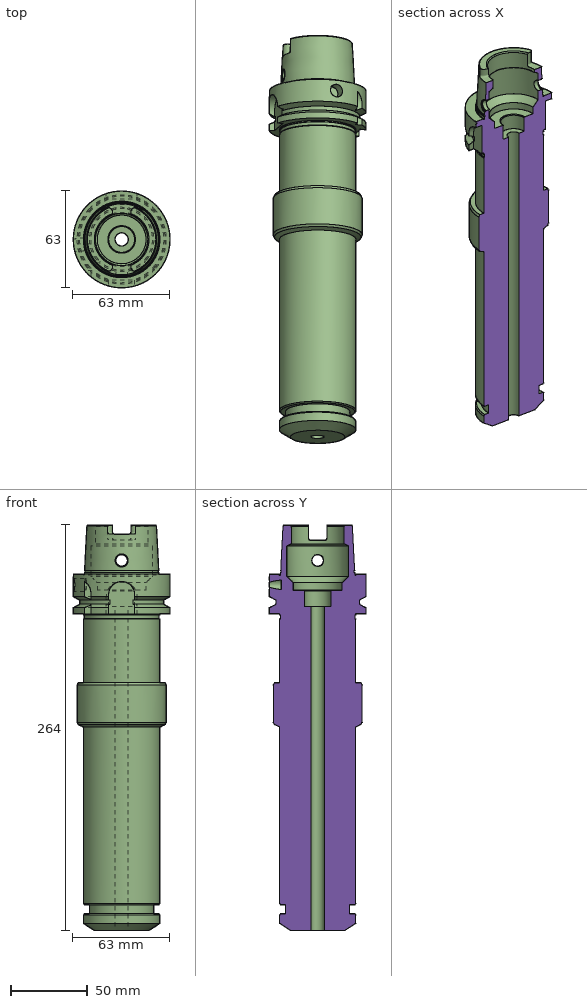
import cadquery as cq
import math

total_height = 264.0
flange_dia = 63.0
body_dia = 50.0

shank_length = 32.0
gauge_dia = 48.0
gauge_height = 6.3
taper_ratio = 0.1
rim_chamfer = 0.5
relief_depth = 0.3
relief_top_height = 2.5
relief_bottom_height = 1.0
face_recess_dia = 50.0
face_recess_depth = 0.5

flange_height = 26.0
groove_floor_dia = 55.0
groove_floor_height = 2.6
groove_centre_drop = 18.2
groove_side_angle = 29.0
neck_depth = 0.5
neck_land = 0.8
neck_height = 2.0
neck_chamfer = 0.5

collar_dia = 58.0
collar_top = 161.5
collar_height = 29.0
collar_chamfer = 0.8
collar_chamfer_height = 1.5
collar_shoulder_height = 1.5
end_groove_dia = 42.0
end_groove_top = 17.0
end_groove_height = 5.8
end_groove_chamfer = 0.8
end_chamfer_height = 4.8
end_face_dia = 35.5

mouth_dia = 35.6
mouth_chamfer_height = 0.8
bore_dia = 34.0
bore_depth = 12.1
chamber_dia = 40.0
chamber_shoulder_height = 1.5
chamber_depth = 33.3
lower_bore_dia = 31.7
lower_bore_depth = 42.2
counterbore_dia = 17.0
counterbore_mouth_dia = 18.0
counterbore_depth = 10.5
through_dia = 8.5

rim_slot_width = 12.0
rim_slot_edge_radius = 3.2
rim_slot_floor_fillet = 1.3
front_rim_slot_depth = 5.8
back_rim_slot_depth = 9.8

cross_hole_dia = 7.5
cross_hole_mouth_dia = 8.5
cross_hole_height = 9.0

drive_slot_floor = 26.5
drive_slot_top_drop = 4.8
front_drive_slot_width = 17.0
back_drive_slot_width = 20.0

notch_corner = 20.0
notch_cutter_radius = 8.5
notch_arc_drop = 12.1

chip_hole_dia = 8.5
chip_hole_depth = 8.0
chip_hole_drop = 6.9
chip_hole_offset = 4.0

flange_face = total_height - shank_length
flange_bottom = flange_face - flange_height
flange_radius = flange_dia / 2
body_radius = body_dia / 2
end_groove_bottom = end_groove_top - end_groove_height
clearance = 2.6


def taper_radius(z):
    """Radius of the tapered shank at height z."""
    return (gauge_dia - taper_ratio * (z - flange_face - gauge_height)) / 2


def turned_body():
    """Solid of revolution of the whole outside."""
    collar_radius = collar_dia / 2
    collar_bottom = collar_top - collar_height
    shoulder_top = collar_bottom + collar_shoulder_height
    groove_radius = end_groove_dia / 2
    v_radius = groove_floor_dia / 2
    v_top = flange_face - groove_centre_drop + groove_floor_height / 2
    v_bottom = v_top - groove_floor_height
    v_rise = (flange_radius - v_radius) * math.tan(math.radians(groove_side_angle))
    neck_radius = body_radius - neck_depth
    neck_top = flange_bottom - neck_land
    neck_bottom = neck_top - neck_height
    relief_top = flange_face + relief_top_height
    relief_bottom = flange_face + relief_bottom_height
    relief_radius = taper_radius(relief_top) - relief_depth
    recess_floor = flange_face - face_recess_depth
    rim_radius = taper_radius(total_height)
    outline = [
        (0, 0),
        (end_face_dia / 2, 0),
        (body_radius, end_chamfer_height),
        (body_radius, end_groove_bottom - end_groove_chamfer),
        (body_radius - end_groove_chamfer, end_groove_bottom),
        (groove_radius, end_groove_bottom),
        (groove_radius, end_groove_top),
        (body_radius - end_groove_chamfer, end_groove_top),
        (body_radius, end_groove_top + end_groove_chamfer),
        (body_radius, collar_bottom),
        (collar_radius - collar_chamfer, shoulder_top),
        (collar_radius, shoulder_top + collar_chamfer_height),
        (collar_radius, collar_top - collar_chamfer_height),
        (collar_radius - collar_chamfer, collar_top),
        (body_radius, collar_top),
        (body_radius, neck_bottom - neck_chamfer),
        (neck_radius, neck_bottom),
        (neck_radius, neck_top),
        (body_radius, neck_top),
        (body_radius, flange_bottom),
        (flange_radius, flange_bottom),
        (flange_radius, v_bottom - v_rise),
        (v_radius, v_bottom),
        (v_radius, v_top),
        (flange_radius, v_top + v_rise),
        (flange_radius, flange_face),
        (face_recess_dia / 2, flange_face),
        (face_recess_dia / 2, recess_floor),
        (taper_radius(recess_floor), recess_floor),
        (taper_radius(relief_bottom), relief_bottom),
        (relief_radius, relief_bottom),
        (relief_radius, relief_top),
        (taper_radius(relief_top), relief_top),
        (rim_radius, total_height - rim_chamfer),
        (rim_radius - rim_chamfer, total_height),
        (0, total_height),
    ]
    return cq.Workplane("XZ").polyline(outline).close().revolve(360, (0, 0), (0, 1))


def bore():
    """Bore with a wide clamping chamber behind its mouth, open at both ends."""
    bore_floor = total_height - lower_bore_depth
    counterbore_floor = bore_floor - counterbore_depth
    counterbore_chamfer = (counterbore_mouth_dia - counterbore_dia) / 2
    chamber_floor = total_height - chamber_depth
    floor_cone_height = (chamber_dia - lower_bore_dia) / 2
    shoulder = total_height - bore_depth
    outline = [
        (0, 0),
        (through_dia / 2, 0),
        (through_dia / 2, counterbore_floor),
        (counterbore_dia / 2, counterbore_floor),
        (counterbore_dia / 2, bore_floor - counterbore_chamfer),
        (counterbore_mouth_dia / 2, bore_floor),
        (lower_bore_dia / 2, bore_floor),
        (lower_bore_dia / 2, chamber_floor - floor_cone_height),
        (chamber_dia / 2, chamber_floor),
        (chamber_dia / 2, shoulder - chamber_shoulder_height),
        (bore_dia / 2, shoulder),
        (bore_dia / 2, total_height - mouth_chamfer_height),
        (mouth_dia / 2, total_height),
        (0, total_height),
    ]
    return cq.Workplane("XZ").polyline(outline).close().revolve(360, (0, 0), (0, 1))


def rim_slot(side, depth):
    """Slot through the rim on the +Y (side = 1) or -Y (side = -1) half, with rounded outer edges."""
    half = rim_slot_width / 2
    rim_radius = taper_radius(total_height)
    outer_y = rim_radius + clearance
    outer_half = half + rim_slot_edge_radius
    arc_end_y = math.sqrt(rim_radius**2 - outer_half**2)
    arc_start_y = arc_end_y - rim_slot_edge_radius
    half_way = rim_slot_edge_radius * math.sqrt(0.5)
    middle_x = outer_half - half_way
    middle_y = arc_start_y + half_way
    cutter = (
        cq.Workplane("XY", origin=(0, 0, total_height - depth))
        .moveTo(-half, 0)
        .lineTo(half, 0)
        .lineTo(half, arc_start_y)
        .threePointArc((middle_x, middle_y), (outer_half, arc_end_y))
        .lineTo(outer_half, outer_y)
        .lineTo(-outer_half, outer_y)
        .lineTo(-outer_half, arc_end_y)
        .threePointArc((-middle_x, middle_y), (-half, arc_start_y))
        .close()
        .extrude(depth + clearance)
        .faces("<Z")
        .edges()
        .fillet(rim_slot_floor_fillet)
    )
    return cutter if side > 0 else cutter.mirror("XZ")


def cross_hole():
    """Hole along Y through both taper walls, countersunk at each mouth."""
    height = flange_face + cross_hole_height
    surface = taper_radius(height)
    step = (cross_hole_mouth_dia - cross_hole_dia) / 2
    reach = surface + clearance
    outline = [
        (0, 0),
        (cross_hole_dia / 2, 0),
        (cross_hole_dia / 2, surface - 2 * step),
        (cross_hole_mouth_dia / 2, surface - step),
        (cross_hole_mouth_dia / 2, reach),
        (0, reach),
    ]
    half = cq.Workplane("XY").polyline(outline).close().revolve(360, (0, 0), (0, 1))
    return half.union(half.mirror("XZ")).translate((0, 0, height))


def drive_slot(side, width):
    """Flat-floored slot with a round upper end, open at the flange underside."""
    radius = width / 2
    arc_centre = flange_face - drive_slot_top_drop - radius
    cutter = (
        cq.Workplane("XZ", origin=(0, -drive_slot_floor, 0))
        .moveTo(-radius, flange_bottom)
        .lineTo(radius, flange_bottom)
        .lineTo(radius, arc_centre)
        .threePointArc((0, arc_centre + radius), (-radius, arc_centre))
        .close()
        .extrude(flange_radius)
    )
    return cutter if side < 0 else cutter.mirror("XZ")


def corner_notch():
    """Square-cornered notch at the -X, -Y corner, running out on a cutter arc at its top."""
    arc_centre = flange_face - notch_arc_drop
    centre_x = -notch_corner - notch_cutter_radius
    arc_top = arc_centre + notch_cutter_radius
    half_way = notch_cutter_radius * math.sqrt(0.5)
    outside = -flange_radius - clearance
    return (
        cq.Workplane("XZ", origin=(0, -notch_corner, 0))
        .moveTo(-notch_corner, flange_bottom)
        .lineTo(-notch_corner, arc_centre)
        .threePointArc((centre_x + half_way, arc_centre + half_way), (centre_x, arc_top))
        .lineTo(outside, arc_top)
        .lineTo(outside, flange_bottom)
        .close()
        .extrude(flange_radius)
    )


def chip_hole():
    """Blind radial hole on the -X side of the flange, turned slightly toward -Y."""
    turn = math.degrees(math.asin(chip_hole_offset / flange_radius))
    return (
        cq.Workplane("YZ", origin=(-flange_radius - clearance, 0, flange_face - chip_hole_drop))
        .circle(chip_hole_dia / 2)
        .extrude(chip_hole_depth + clearance)
        .rotate((0, 0, 0), (0, 0, 1), turn)
    )


result = (
    turned_body()
    .cut(bore())
    .cut(rim_slot(-1, front_rim_slot_depth))
    .cut(rim_slot(1, back_rim_slot_depth))
    .cut(cross_hole())
    .cut(drive_slot(-1, front_drive_slot_width))
    .cut(drive_slot(1, back_drive_slot_width))
    .cut(corner_notch())
    .cut(chip_hole())
)